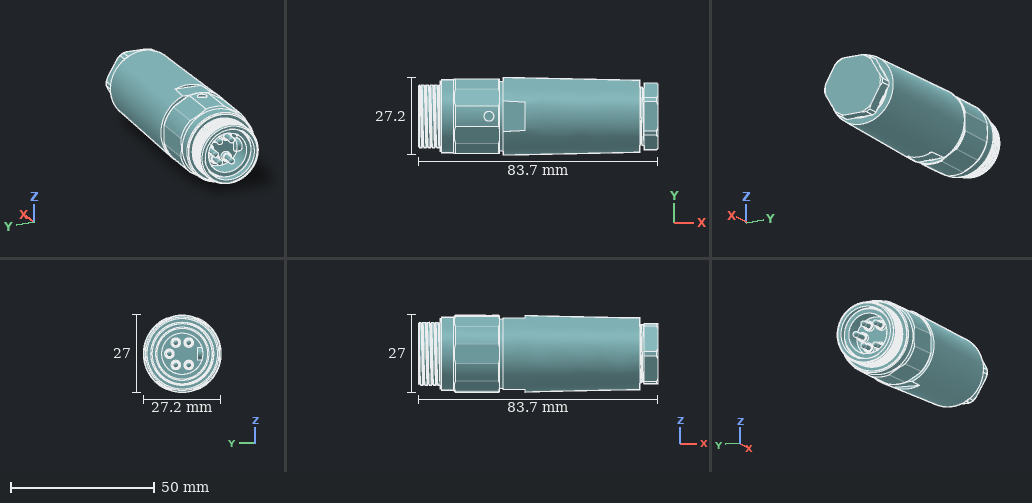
import cadquery as cq
import math


thread_end = 7.65
collar_start = 8.1
collar_end = 12.3
nut_end = 28.3
body_start = 29.6
body_flat_end = 37.2
body_end = 77.3
gland_start = 78.75
total_length = 83.7

thread_radius = 11.0
thread_pitch = 1.5
thread_depth = 0.6
thread_crest = 0.5
thread_chamfer = 0.5
collar_front_radius = 24.6 / 2
collar_radius = 12.8

groove_root_width = 0.09
groove_mouth_width = 1.2
groove_overshoot = 0.4

nut_radius = 13.5
nut_across_flats = 26.1
nut_front_chamfer = 0.7
nut_rear_chamfer = 0.25
neck_radius = 24.4 / 2

dot_diameter = 3.4
dot_depth = 1.0
dot_x = 24.65

body_start_radius = 13.6
body_end_radius = 12.6
body_flat_height = 12.5

gland_thread_radius = 10.25
gland_thread_depth = 0.85
gland_thread_crest = 78.1
gland_across_flats = 21.0
gland_radius = 11.7
gland_chamfer = 0.6

mouth_radius = 9.3
mouth_depth = 2.0
insert_radius = 8.85
insert_gap_depth = 1.0
cavity_radius = 7.2
cavity_floor = 9.3
pin_radius = 1.0
pin_tip = 2.6
long_pin_tip = 1.0
pin_circle_radius = 4.5
long_pin_angle = 0
pin_angles = [long_pin_angle, 60, 120, 240, 300]
pin_boss_radius = 1.65
pin_boss_front = 7.7
pin_well_radius = 1.25
pin_well_depth = 0.5
key_inner_y = -5.3
key_half_width = 2.2
key_front = 6.0

overlap = 0.5


def cylinder(radius, start, end, y=0.0, z=0.0):
    """Cylinder parallel to X between two stations."""
    plane = cq.Plane(origin=(start, y, z), xDir=(0, 1, 0), normal=(1, 0, 0))
    return cq.Workplane(plane).circle(radius).extrude(end - start)


def revolved(points):
    """Solid of revolution about X from (x, radius) points."""
    profile = cq.Workplane("XY").polyline(points).close()
    return profile.revolve(360, (0, 0, 0), (1, 0, 0))


def hexagon(across_flats, start, end, first_corner):
    """Hexagonal prism along X; first_corner is the angle in degrees from +Y to one corner."""
    corner_radius = across_flats / math.sqrt(3)
    corners = []
    for index in range(6):
        angle = math.radians(first_corner + 60 * index)
        corners.append((corner_radius * math.cos(angle), corner_radius * math.sin(angle)))
    plane = cq.Workplane("YZ", origin=(start, 0, 0))
    return plane.polyline(corners).close().extrude(end - start)


def threaded_rod(radius, depth, start, end, crest_at_top):
    """Right-hand threaded rod with a crest on its +Z side at x = crest_at_top."""
    turns_before = math.ceil((crest_at_top - start) / thread_pitch) + 1
    groove_start = crest_at_top + thread_pitch * (0.5 - turns_before)
    groove_length = thread_pitch * math.ceil((end - groove_start) / thread_pitch + 1)
    mouth_half = groove_mouth_width / 2
    root_half = groove_root_width / 2
    root_radius = radius - depth

    helix = cq.Wire.makeHelix(thread_pitch, groove_length, root_radius)
    section = (
        cq.Workplane("XZ")
        .moveTo(root_radius, -root_half)
        .lineTo(radius + groove_overshoot, -mouth_half)
        .lineTo(radius + groove_overshoot, mouth_half)
        .lineTo(root_radius, root_half)
        .close()
    )
    groove = section.sweep(cq.Workplane(obj=helix), isFrenet=True)
    groove = groove.rotate((0, 0, 0), (0, 1, 0), 90)
    groove = groove.rotate((0, 0, 0), (1, 0, 0), 180)
    groove = groove.translate((groove_start, 0, 0))
    groove_end = groove_start + groove_length
    rod = cylinder(radius, groove_start - thread_pitch, groove_end + thread_pitch).cut(groove)
    slab_width = 3 * radius
    slab = cq.Workplane("YZ", origin=(start, 0, 0)).rect(slab_width, slab_width).extrude(end - start)
    return rod.intersect(slab)


def make_mating_thread():
    rod = threaded_rod(thread_radius, thread_depth, 0, thread_end, thread_crest)
    chamfered_blank = revolved([
        (0, 0),
        (0, thread_radius - thread_chamfer),
        (thread_chamfer, thread_radius),
        (thread_end, thread_radius),
        (thread_end, 0),
    ])
    return rod.intersect(chamfered_blank)


def make_collar():
    return revolved([
        (thread_end, 0),
        (thread_end, collar_front_radius),
        (collar_start, collar_front_radius),
        (collar_start, collar_radius),
        (collar_end, collar_radius),
        (collar_end, 0),
    ])


def make_nut():
    blank = revolved([
        (collar_end, 0),
        (collar_end, collar_radius),
        (collar_end + nut_front_chamfer, nut_radius),
        (nut_end - nut_rear_chamfer, nut_radius),
        (nut_end, nut_radius - nut_rear_chamfer),
        (nut_end, 0),
    ])
    return blank.intersect(hexagon(nut_across_flats, collar_end, nut_end, 30))


def make_body():
    """Tapered body with a flat on its +Z and -Z sides."""
    body = revolved([
        (body_start, 0),
        (body_start, body_start_radius),
        (body_end, body_end_radius),
        (body_end, 0),
    ])
    flat_length = body_flat_end - body_start
    for side in (1, -1):
        center_z = side * (body_flat_height + body_start_radius)
        cutter = cq.Workplane("XY").box(flat_length, 2 * body_start_radius, 2 * body_start_radius)
        body = body.cut(cutter.translate((body_start + flat_length / 2, 0, center_z)))
    return body


def make_gland_thread():
    return threaded_rod(
        gland_thread_radius, gland_thread_depth, body_end, gland_start, gland_thread_crest
    )


def make_gland():
    blank = revolved([
        (gland_start, 0),
        (gland_start, gland_radius),
        (total_length - gland_chamfer, gland_radius),
        (total_length, gland_radius - gland_chamfer),
        (total_length, 0),
    ])
    return blank.intersect(hexagon(gland_across_flats, gland_start, total_length, 0))


def make_socket():
    """Cutter for the mouth, the contact cavity and the narrow gap around the insert."""
    mouth = cylinder(mouth_radius, 0, mouth_depth)
    gap_end = mouth_depth + insert_gap_depth
    gap = cylinder(mouth_radius, mouth_depth, gap_end)
    gap = gap.cut(cylinder(insert_radius, mouth_depth, gap_end))
    cavity = cylinder(cavity_radius, mouth_depth, cavity_floor)
    return mouth.union(cavity).union(gap)


def make_pin_boss(y, z):
    """Round boss on the cavity floor, recessed around its pin."""
    boss = cylinder(pin_boss_radius, pin_boss_front, cavity_floor + overlap, y, z)
    return boss.cut(cylinder(pin_well_radius, pin_boss_front, pin_boss_front + pin_well_depth, y, z))


def make_pin(tip, y, z):
    """Round contact pin with a hemispherical tip, rooted in the cavity floor."""
    dome_center = tip + pin_radius
    shaft = cylinder(pin_radius, dome_center, cavity_floor + overlap, y, z)
    dome = cq.Workplane("XY").sphere(pin_radius).translate((dome_center, y, z))
    return shaft.union(dome)


def make_key():
    """Keying rib on the -Y side of the cavity with a half-round front end."""
    center_x = key_front + key_half_width
    reach = cavity_radius + overlap + key_inner_y
    return (
        cq.Workplane("XZ", origin=(0, key_inner_y, 0))
        .moveTo(cavity_floor + overlap, key_half_width)
        .lineTo(center_x, key_half_width)
        .threePointArc((key_front, 0), (center_x, -key_half_width))
        .lineTo(cavity_floor + overlap, -key_half_width)
        .close()
        .extrude(reach)
    )


def make_contact(angle):
    """Pin and its boss at an angle in degrees from +Y around the axis."""
    y = pin_circle_radius * math.cos(math.radians(angle))
    z = pin_circle_radius * math.sin(math.radians(angle))
    tip = long_pin_tip if angle == long_pin_angle else pin_tip
    return make_pin_boss(y, z).union(make_pin(tip, y, z))


def make_dot():
    """Cutter for the round marker recess on top of the nut."""
    plane = cq.Workplane("XY", origin=(dot_x, 0, nut_radius - dot_depth))
    return plane.circle(dot_diameter / 2).extrude(dot_depth + overlap)


result = make_mating_thread()
result = result.union(make_collar())
result = result.union(make_nut())
result = result.union(cylinder(neck_radius, nut_end, body_start))
result = result.union(make_body())
result = result.union(make_gland_thread())
result = result.union(make_gland())

result = result.cut(make_socket())
for pin_angle in pin_angles:
    result = result.union(make_contact(pin_angle))
result = result.union(make_key())
result = result.cut(make_dot())